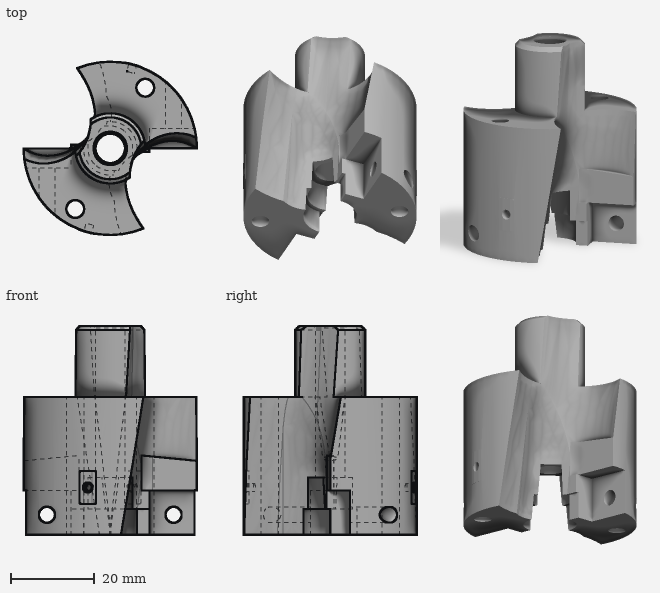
import cadquery as cq
import math

HEIGHT = 50.0
BODY_HEIGHT = 33.0
BODY_RADIUS = 20.75
SHANK_RADIUS = 8.4
SHANK_CHAMFER = 1.0
CLEAR = 5.0

BORE_RADIUS = 3.5
BORE_CHAMFER = 0.5
LOWER_BORE_RADIUS = 5.35
LOWER_BORE_TOP = 13.7
MOUTH_RADIUS = 6.4
MOUTH_TOP = 6.2

TWIST_PER_HEIGHT = 0.4658
FLUTE_REACH = 30.0
TRAILING_WALL = [(10.7, -22.55), (4.85, -13.65), (3.75, -8.5), (5.15, -2.95)]
LEADING_WALL = [(8.3, 0.75), (12.9, 3.2), (20.55, 2.55)]

LEAN = 0.12
LOWER_WALL_OUTER = (5.6, -22.5)
LOWER_WALL_INNER = (0.3, -11.25)
LOWER_CORNER_MIDDLE = (0.5, -5.0)
LOWER_FLOOR_START_X = 5.75

SEAT_TOP = 10.65
SEAT_INNER_X = 9.35
SEAT_DEPTH = 4.7
RIB_DEPTH = 0.9
BLADE_INNER_X = 7.45
BLADE_INNER_DEPTH = 0.75
BLADE_FLAT_X = 10.05
BLADE_INNER_TOP = 19.0
BLADE_OUTER_TOP = 17.7
BLADE_BACK_Y = 5.0

AXIAL_HOLE_RADIUS = 2.1
AXIAL_HOLE_DISTANCE = 16.75
AXIAL_HOLE_ANGLE = 60.0
CROSS_HOLE_RADIUS = 1.9
CROSS_HOLE_X = 15.15
CROSS_HOLE_Z = 4.8

PAD_ANGLE = 75.0
PAD_WIDTH = 4.1
PAD_FLAT_WIDTH = 2.05
PAD_HEIGHT = 7.9
PAD_MIDDLE_Z = 11.35
PAD_TOP = 20.8
PAD_EDGE = 20.7
PAD_CORNER = 0.4
SCREW_RADIUS = 0.95
SCREW_SINK_RADIUS = 1.2
SCREW_DEPTH = 2.0


def on_both_sides(shape):
    """The shape together with its copy half a turn around the main axis."""
    return shape.union(shape.rotate((0, 0, 0), (0, 0, 1), 180))


def cylinder(radius, bottom, top):
    return cq.Workplane("XY").workplane(offset=bottom).circle(radius).extrude(top - bottom)


def cone(bottom_radius, top_radius, bottom, top):
    solid = cq.Solid.makeCone(bottom_radius, top_radius, top - bottom)
    return cq.Workplane(solid).translate((0, 0, bottom))


def block(x_range, y_range, z_range):
    sizes = [high - low for low, high in (x_range, y_range, z_range)]
    corner = (x_range[0], y_range[0], z_range[0])
    return cq.Workplane("XY").box(*sizes, centered=False).translate(corner)


def blank():
    body = cylinder(BODY_RADIUS, 0, BODY_HEIGHT)
    shank = cylinder(SHANK_RADIUS, 0, HEIGHT).faces(">Z").chamfer(SHANK_CHAMFER)
    return body.union(shank)


def bore():
    through = cylinder(BORE_RADIUS, -CLEAR, HEIGHT)
    lower = cylinder(LOWER_BORE_RADIUS, -CLEAR, LOWER_BORE_TOP)
    mouth = cylinder(MOUTH_RADIUS, -CLEAR, MOUTH_TOP)
    entry = cone(BORE_RADIUS, BORE_RADIUS + BORE_CHAMFER, HEIGHT - BORE_CHAMFER, HEIGHT)
    return through.union(lower).union(mouth).union(entry)


def twisted_flute():
    """Flute whose section turns steadily with height; the section is given at the body's top."""
    section = (
        cq.Workplane("XY")
        .moveTo(*TRAILING_WALL[0])
        .spline(TRAILING_WALL[1:], includeCurrent=True)
        .spline(LEADING_WALL, includeCurrent=True)
        .lineTo(FLUTE_REACH, 0)
        .lineTo(FLUTE_REACH, TRAILING_WALL[0][1])
        .close()
    )
    flute = section.twistExtrude(HEIGHT, TWIST_PER_HEIGHT * HEIGHT)
    return flute.rotate((0, 0, 0), (0, 0, 1), -TWIST_PER_HEIGHT * BODY_HEIGHT)


def lower_flute():
    """Chip space below the twisted flute, swept along a leaning line."""
    path = cq.Workplane("XZ").lineTo(LEAN * BODY_HEIGHT, BODY_HEIGHT)
    return (
        cq.Workplane("XY")
        .moveTo(*LOWER_WALL_OUTER)
        .lineTo(*LOWER_WALL_INNER)
        .threePointArc(LOWER_CORNER_MIDDLE, (LOWER_FLOOR_START_X, -RIB_DEPTH))
        .lineTo(FLUTE_REACH, -RIB_DEPTH)
        .lineTo(FLUTE_REACH, LOWER_WALL_OUTER[1])
        .close()
        .sweep(path)
    )


def bore_windows():
    """Openings that let the flute run into the wide steps of the bore."""
    upper = block((0, LOWER_BORE_RADIUS), (-LOWER_BORE_RADIUS, -RIB_DEPTH), (-CLEAR, LOWER_BORE_TOP))
    lower = block((0, BODY_RADIUS), (-MOUTH_RADIUS, 0), (-CLEAR, MOUTH_TOP))
    return upper.union(lower)


def insert_seat():
    """Open corner pocket that holds the cutting insert."""
    return block((SEAT_INNER_X, BODY_RADIUS + CLEAR), (-CLEAR, SEAT_DEPTH), (-CLEAR, SEAT_TOP))


def blade():
    """Material that fills the flute behind the cutting face, under a sloping top."""
    profile = [
        (BLADE_INNER_X, 0),
        (BODY_RADIUS, 0),
        (BODY_RADIUS, BLADE_OUTER_TOP),
        (BLADE_INNER_X, BLADE_INNER_TOP),
    ]
    prism = (
        cq.Workplane("XZ", origin=(0, -RIB_DEPTH, 0))
        .polyline(profile)
        .close()
        .extrude(-BLADE_BACK_Y - RIB_DEPTH)
    )
    return prism.intersect(cylinder(BODY_RADIUS, 0, BODY_HEIGHT))


def blade_face_cut():
    """Space in front of the cutting face, with a hollow root blending into the flute."""
    run = BLADE_FLAT_X - BLADE_INNER_X
    root_radius = (run**2 + BLADE_INNER_DEPTH**2) / (2 * BLADE_INNER_DEPTH)
    half_angle = math.asin(run / root_radius) / 2
    middle = (
        BLADE_FLAT_X - root_radius * math.sin(half_angle),
        -root_radius * (1 - math.cos(half_angle)),
    )
    return (
        cq.Workplane("XY")
        .workplane(offset=SEAT_TOP)
        .moveTo(BLADE_INNER_X, -BLADE_INNER_DEPTH)
        .threePointArc(middle, (BLADE_FLAT_X, 0))
        .lineTo(BODY_RADIUS + CLEAR, 0)
        .lineTo(BODY_RADIUS + CLEAR, -CLEAR)
        .lineTo(BLADE_INNER_X, -CLEAR)
        .close()
        .extrude(BLADE_INNER_TOP - SEAT_TOP)
    )


def axial_hole():
    hole = cylinder(AXIAL_HOLE_RADIUS, -CLEAR, BODY_HEIGHT + CLEAR)
    return hole.translate((AXIAL_HOLE_DISTANCE, 0, 0)).rotate((0, 0, 0), (0, 0, 1), AXIAL_HOLE_ANGLE)


def cross_hole():
    return (
        cq.Workplane("XZ")
        .center(CROSS_HOLE_X, CROSS_HOLE_Z)
        .circle(CROSS_HOLE_RADIUS)
        .extrude(BODY_RADIUS, both=True)
    )


def turn_to_pad(shape):
    """Bring a shape built on the +X side to the pad's place."""
    return shape.translate((0, 0, PAD_MIDDLE_Z)).rotate((0, 0, 0), (0, 0, 1), PAD_ANGLE)


def wear_pad():
    half = PAD_WIDTH / 2
    half_flat = PAD_FLAT_WIDTH / 2
    root = PAD_TOP - SCREW_DEPTH
    ridge = (
        cq.Workplane("XY")
        .polyline(
            [
                (root, -half),
                (PAD_EDGE, -half),
                (PAD_TOP, -half_flat),
                (PAD_TOP, half_flat),
                (PAD_EDGE, half),
                (root, half),
            ]
        )
        .close()
        .extrude(PAD_HEIGHT / 2, both=True)
    )
    outline = (
        cq.Workplane("YZ")
        .rect(PAD_WIDTH, PAD_HEIGHT)
        .extrude(PAD_TOP)
        .edges("|X")
        .fillet(PAD_CORNER)
    )
    return turn_to_pad(ridge.intersect(outline))


def pad_screw_hole():
    sink = SCREW_SINK_RADIUS - SCREW_RADIUS
    hole = cylinder(SCREW_RADIUS, PAD_TOP - SCREW_DEPTH, PAD_TOP)
    countersink = cone(SCREW_RADIUS, SCREW_SINK_RADIUS, PAD_TOP - sink, PAD_TOP)
    return turn_to_pad(hole.union(countersink).rotate((0, 0, 0), (0, 1, 0), 90))


result = (
    blank()
    .cut(on_both_sides(twisted_flute()))
    .union(on_both_sides(blade()))
    .cut(on_both_sides(lower_flute()))
    .cut(on_both_sides(blade_face_cut()))
    .cut(on_both_sides(insert_seat()))
    .cut(on_both_sides(bore_windows()))
    .union(on_both_sides(wear_pad()))
    .cut(on_both_sides(pad_screw_hole()))
    .cut(on_both_sides(axial_hole()))
    .cut(on_both_sides(cross_hole()))
    .cut(bore())
)